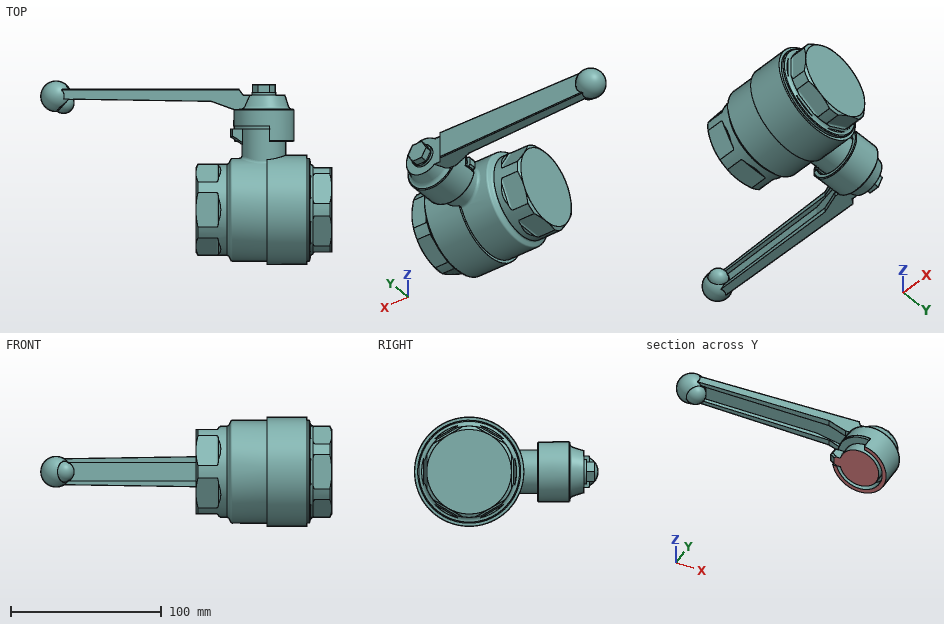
import cadquery as cq
import math


half_length = 45.0
collar_radius = 36.25
collar_start = 2.0
collar_end = 28.4
barrel_radius = 34.15
neck_radius = 30.25
face_radius = 28.0
face_chamfer = 1.3
flat_apothem = 28.0
left_flat_length = 13.65
right_flat_length = 11.2
flat_root_fillet = 1.3
flat_runout = 2.8

stem_radius = 14.55
stem_root_fillet = 1.8
lug_reach = 22.0
lug_half_width = 3.8
lug_nose_bottom = 48.2
lug_root_bottom = 43.4
lug_chamfer = 1.2

hub_radius = 20.0
stop_plate_radius = 19.75
stop_plate_bottom = 53.6
hub_ring_bottom = 55.4
hub_ring_top = 66.1
hub_top = 76.0
cone_top_radius = 14.0
cone_base_radius = 16.4
cone_base = 68.4
hub_shoulder_radius = 19.3
hub_shoulder = 66.7
skirt_bottom = 45.3
skirt_chamfer = 0.6
skirt_inner_radius = 16.8
skirt_opening_edge = 3.8

bolt_washer_radius = 8.0
bolt_head_bottom = 77.9
bolt_head_top = 83.0
bolt_head_corner_radius = 7.6

knob_radius = 10.22
knob_x = -147.92 + knob_radius
knob_y = 85.45 - knob_radius
arm_top = 79.9
arm_bottom_at_knob = 73.4
arm_bend_x = -34.8
arm_bend_bottom = 71.8
arm_root_bottom = 66.4
arm_shoulder_x = -16.6
arm_shoulder_foot_x = -13.7
arm_half_width_at_knob = 8.6
arm_half_width_at_axis = 10.7
arm_edge_chamfer = 0.6
channel_half_width = 6.1
channel_knob_floor = 76.2
channel_bend_x = -45.8
channel_bend_floor = 75.2
channel_root_x = -23.6
channel_root_floor = 70.5
channel_end_x = -20.2
channel_end_floor = 67.2
dimple_x = -132.7
dimple_y = 70.8
dimple_radius = 7.0


def stem_cylinder(radius, bottom, top):
    """Cylinder on the stem axis between two heights along Y."""
    plane = cq.Workplane("XZ", origin=(0, bottom, 0))
    return plane.circle(radius).extrude(bottom - top)


def hex_flat_cutter(flat_length, angle):
    """Prism for one wrench flat on the +X end, its inner end sloping out to the neck."""
    inner_x = half_length - flat_length
    slope_x = inner_x - flat_root_fillet
    runout_x = inner_x - flat_runout
    root_height = flat_apothem + flat_root_fillet
    arc_mid_x = inner_x - flat_root_fillet * math.sin(math.radians(45))
    arc_mid_height = root_height - flat_root_fillet * math.cos(math.radians(45))
    clearance = 10.0
    cutter = (
        cq.Workplane("XY")
        .moveTo(half_length + clearance, flat_apothem)
        .lineTo(inner_x, flat_apothem)
        .threePointArc((arc_mid_x, arc_mid_height), (slope_x, root_height))
        .lineTo(runout_x, neck_radius)
        .lineTo(runout_x, neck_radius + clearance)
        .lineTo(half_length + clearance, neck_radius + clearance)
        .close()
        .extrude(flat_apothem / 2, both=True)
    )
    return cutter.rotate((0, 0, 0), (1, 0, 0), angle)


def valve_body():
    """Turned body with the stem column, the collar and six wrench flats on each end."""
    body = (
        cq.Workplane("XY")
        .moveTo(-half_length, 0)
        .lineTo(-half_length, face_radius)
        .lineTo(-half_length + face_chamfer, neck_radius)
        .lineTo(-24.3, neck_radius)
        .threePointArc((-23.4, 30.8), (-22.9, 31.6))
        .lineTo(-22.0, 33.4)
        .threePointArc((-21.4, 34.0), (-20.5, barrel_radius))
        .lineTo(30.0, barrel_radius)
        .lineTo(30.5, 33.4)
        .threePointArc((31.2, 31.2), (32.6, neck_radius))
        .lineTo(half_length - face_chamfer, neck_radius)
        .lineTo(half_length, face_radius)
        .lineTo(half_length, 0)
        .close()
        .revolve(360, (0, 0, 0), (1, 0, 0))
    )
    stem = stem_cylinder(stem_radius, 0, stop_plate_bottom)
    blend_zone = cq.selectors.BoxSelector(
        (-stem_radius - 1, 0, -stem_radius - 1), (stem_radius + 1, barrel_radius + 1, stem_radius + 1)
    )
    body = body.union(stem).edges(blend_zone).edges("not #Z").fillet(stem_root_fillet)
    collar_length = collar_end - collar_start
    collar = cq.Workplane("YZ", origin=(collar_start, 0, 0)).circle(collar_radius).extrude(collar_length)
    body = body.union(collar)
    for index in range(6):
        right_flat = hex_flat_cutter(right_flat_length, 60 * index)
        left_flat = hex_flat_cutter(left_flat_length, 60 * index + 30).mirror("YZ")
        body = body.cut(right_flat).cut(left_flat)
    return body


def stop_lug():
    """Bevelled stop lug on the -X side of the stem."""
    lug = (
        cq.Workplane("XY")
        .moveTo(0, stop_plate_bottom)
        .lineTo(-lug_reach, stop_plate_bottom)
        .lineTo(-lug_reach, lug_nose_bottom)
        .lineTo(-stem_radius, lug_root_bottom)
        .lineTo(0, lug_root_bottom)
        .close()
        .extrude(lug_half_width, both=True)
    )
    outer_edges = cq.selectors.BoxSelector(
        (-lug_reach - 1, lug_root_bottom, -hub_radius), (-stem_radius - 1, stop_plate_bottom - 1, hub_radius)
    )
    return lug.edges(outer_edges).edges("not |Z").chamfer(lug_chamfer)


def lever_hub():
    """Hub with a conical top and a skirt open over the quadrant toward -X and +Z."""
    hub = (
        cq.Workplane("XY")
        .moveTo(0, hub_ring_bottom)
        .lineTo(hub_radius, hub_ring_bottom)
        .lineTo(hub_radius, hub_ring_top)
        .lineTo(hub_shoulder_radius, hub_shoulder)
        .threePointArc((17.4, 67.2), (cone_base_radius, cone_base))
        .lineTo(cone_top_radius, hub_top)
        .lineTo(0, hub_top)
        .close()
        .revolve(360, (0, 0, 0), (0, 1, 0))
    )
    plate = stem_cylinder(stop_plate_radius, stop_plate_bottom, hub_ring_bottom)
    skirt = stem_cylinder(hub_radius, skirt_bottom, hub_ring_bottom)
    skirt = skirt.cut(stem_cylinder(skirt_inner_radius, skirt_bottom, hub_ring_bottom))
    skirt = skirt.faces("<Y").edges("%CIRCLE").edges(cq.selectors.RadiusNthSelector(-1)).chamfer(skirt_chamfer)
    opening_size = 2 * hub_radius
    opening = cq.Workplane("XY").box(opening_size, opening_size, opening_size, centered=(True, True, False))
    opening = opening.translate((skirt_opening_edge - hub_radius, hub_ring_bottom - hub_radius, -skirt_opening_edge))
    return hub.union(plate).union(skirt.cut(opening))


def lever_bolt():
    """Hexagon bolt head and washer on the hub."""
    washer = stem_cylinder(bolt_washer_radius, hub_top, bolt_head_bottom)
    head = (
        cq.Workplane("XZ", origin=(0, bolt_head_bottom, 0))
        .polygon(6, 2 * bolt_head_corner_radius)
        .extrude(bolt_head_bottom - bolt_head_top)
    )
    return washer.union(head)


def arm_edges(lowest, highest, half_width):
    """Selector for the straight arm edges whose centres lie in a band of Y and Z."""
    margin = 0.5
    return cq.selectors.BoxSelector(
        (knob_x + 1, lowest - margin, -half_width - margin),
        (arm_shoulder_x, highest + margin, half_width + margin),
    )


def lever_arm():
    """Tapered arm with a channel along its -Y side."""
    profile = (
        cq.Workplane("XY")
        .moveTo(knob_x, arm_top)
        .lineTo(arm_shoulder_x, arm_top)
        .lineTo(arm_shoulder_foot_x, hub_top)
        .lineTo(0, hub_top)
        .lineTo(0, arm_root_bottom)
        .lineTo(-hub_radius, arm_root_bottom)
        .lineTo(arm_bend_x, arm_bend_bottom)
        .lineTo(knob_x, arm_bottom_at_knob)
        .close()
        .extrude(hub_radius, both=True)
    )
    width_taper = (
        cq.Workplane("XZ")
        .moveTo(knob_x, arm_half_width_at_knob)
        .lineTo(0, arm_half_width_at_axis)
        .lineTo(0, -arm_half_width_at_axis)
        .lineTo(knob_x, -arm_half_width_at_knob)
        .close()
        .extrude(-2 * arm_top)
    )
    arm = profile.intersect(width_taper)
    upper_edges = arm_edges(arm_top, arm_top, hub_radius)
    arm = arm.edges(upper_edges).edges("not |Z").chamfer(arm_edge_chamfer)
    channel = (
        cq.Workplane("XY")
        .moveTo(knob_x, channel_knob_floor)
        .lineTo(channel_bend_x, channel_bend_floor)
        .lineTo(channel_root_x, channel_root_floor)
        .threePointArc((-21.3, 69.5), (channel_end_x, channel_end_floor))
        .lineTo(channel_end_x, skirt_bottom)
        .lineTo(knob_x, skirt_bottom)
        .close()
        .extrude(channel_half_width, both=True)
    )
    return arm.cut(channel)


def lever():
    """Knob, arm, hub and bolt; the channel ends in a round dimple in the knob."""
    knob = cq.Workplane("XY").sphere(knob_radius).translate((knob_x, knob_y, 0))
    dimple = cq.Workplane("XY").sphere(dimple_radius).translate((dimple_x, dimple_y, 0))
    handle = lever_arm().union(knob).cut(dimple)
    return handle.union(lever_hub()).union(lever_bolt())


result = valve_body().union(stop_lug()).union(lever())